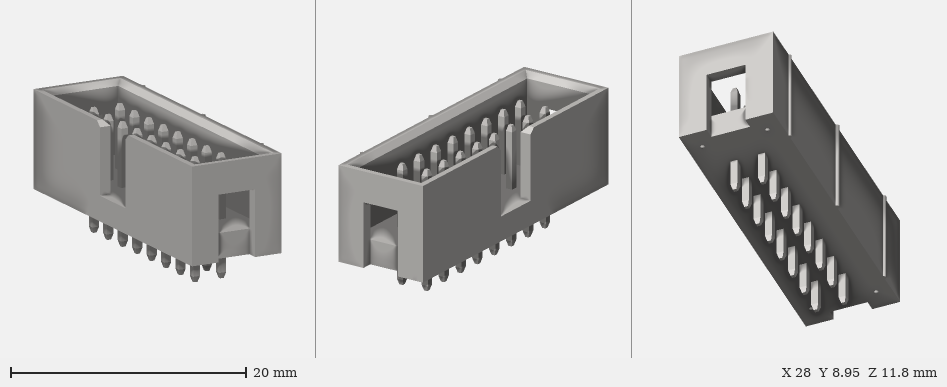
import cadquery as cq

length = 27.97
depth = 8.7
height = 8.8
wall = 1.03
floor_height = 2.27
rim_chamfer = 0.5

notch_width = 4.48

window_width = 3.55
window_top = 5.99

pins_per_row = 8
row_count = 2
pin_row_length = 17.8
pin_width = 0.65
pin_tip_width = 0.34
pin_tip_length = 0.53
pin_top_drop = 0.78
pin_tail = 3.0

centre_rib_radius = 0.25
side_rib_radius = 0.2
side_rib_x = 10.4

standoff_radius = 0.22
standoff_height = 0.15
standoff_x = 11.97
standoff_y = 3.0

pin_pitch = pin_row_length / (pins_per_row - 1)
cavity_length = length - 2 * wall
cavity_depth = depth - 2 * wall
cavity_height = height - floor_height


def flared_cut(size_x, size_y, centre_y):
    """Cavity-deep block that widens by the rim chamfer on every side at the top."""
    straight = (
        cq.Workplane("XY", origin=(0, centre_y, floor_height))
        .rect(size_x, size_y)
        .extrude(cavity_height)
    )
    flare = (
        cq.Workplane("XY", origin=(0, centre_y, height - rim_chamfer))
        .rect(size_x, size_y)
        .workplane(offset=rim_chamfer)
        .rect(size_x + 2 * rim_chamfer, size_y + 2 * rim_chamfer)
        .loft(ruled=True)
    )
    return straight.union(flare)


def make_housing():
    body = cq.Workplane("XY").box(length, depth, height, centered=(True, True, False))
    cavity = flared_cut(cavity_length, cavity_depth, 0)
    notch = flared_cut(notch_width, depth, -depth / 2)
    return body.cut(cavity).cut(notch)


def make_end_openings():
    """Slots through both end walls, open at the underside and as deep as the wall."""
    return (
        cq.Workplane("XY")
        .pushPoints([(side * (length - wall) / 2, 0) for side in (-1, 1)])
        .rect(wall, window_width)
        .extrude(window_top)
    )


def make_pin_tip(base_z, direction):
    """Tapered end of a pin; direction is 1 for upward and -1 for downward."""
    return (
        cq.Workplane("XY", origin=(0, 0, base_z))
        .rect(pin_width, pin_width)
        .workplane(offset=direction * pin_tip_length)
        .rect(pin_tip_width, pin_tip_width)
        .loft(ruled=True)
    )


def make_pin():
    shank_bottom = pin_tip_length - pin_tail
    shank_top = height - pin_top_drop - pin_tip_length
    shank = (
        cq.Workplane("XY", origin=(0, 0, shank_bottom))
        .rect(pin_width, pin_width)
        .extrude(shank_top - shank_bottom)
    )
    return shank.union(make_pin_tip(shank_top, 1)).union(make_pin_tip(shank_bottom, -1))


def make_rib(x, radius):
    """Full-height round bar centred on the back face, so half of it stands proud."""
    return cq.Workplane("XY", origin=(x, depth / 2, 0)).circle(radius).extrude(height)


result = make_housing().cut(make_end_openings())

pin = make_pin()
pin_grid = cq.Workplane("XY").rarray(pin_pitch, pin_pitch, pins_per_row, row_count).vals()
for spot in pin_grid:
    result = result.union(pin.translate(spot.Center()))

result = result.union(make_rib(0, centre_rib_radius))
for side in (-1, 1):
    result = result.union(make_rib(side * side_rib_x, side_rib_radius))

standoff_centre_z = standoff_radius - standoff_height
standoff = cq.Workplane("XY").sphere(standoff_radius)
for side_x in (-1, 1):
    for side_y in (-1, 1):
        place = (side_x * standoff_x, side_y * standoff_y, standoff_centre_z)
        result = result.union(standoff.translate(place))